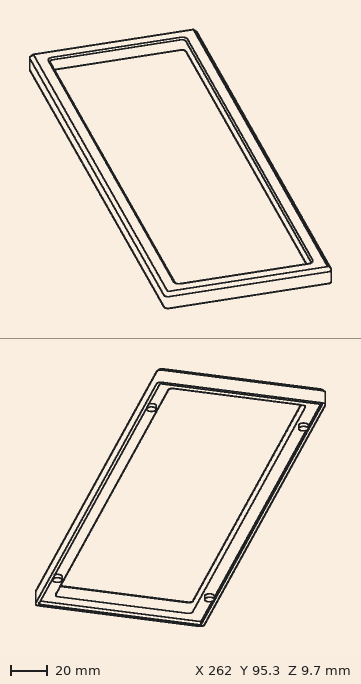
import cadquery as cq

length = 262.0
width = 95.3
height = 9.7

window_length = 243.8
window_width = 77.3

outer_bevel = 2.0
window_bevel = 1.0

outer_corner_radius = 2.4
window_corner_radius = 2.0

skirt_thickness = 1.8
recess_depth = 2.0

foot_diameter = 5.2
foot_spacing_x = 200.0
foot_inset = 4.7


def rounded_block(size_x, size_y, size_z, corner_radius):
    """Block standing on Z = 0, centred in X and Y, with rounded vertical edges."""
    block = cq.Workplane("XY").rect(size_x, size_y).extrude(size_z)
    return block.edges("|Z").fillet(corner_radius)


def bevelled_body():
    """Solid outer block with a bevel all round its top face."""
    block = rounded_block(length, width, height, outer_corner_radius)
    return block.faces(">Z").chamfer(outer_bevel)


def cut_window(body):
    """Cut the window and bevel its top rim."""
    window = rounded_block(window_length, window_width, height, window_corner_radius)
    frame = body.cut(window)
    rim_x = window_length / 2 + window_bevel
    rim_y = window_width / 2 + window_bevel
    rim = cq.selectors.BoxSelector(
        (-rim_x, -rim_y, height - window_bevel / 2),
        (rim_x, rim_y, height + window_bevel / 2),
    )
    return frame.edges(rim).chamfer(window_bevel)


def underside_recess():
    """Shallow block removed from below, inside the skirt."""
    recess_length = length - 2 * skirt_thickness
    recess_width = width - 2 * skirt_thickness
    return cq.Workplane("XY").rect(recess_length, recess_width).extrude(recess_depth)


def feet():
    """Four round feet that fill the depth of the recess."""
    foot_spacing_y = width - 2 * foot_inset
    return (
        cq.Workplane("XY")
        .rect(foot_spacing_x, foot_spacing_y, forConstruction=True)
        .vertices()
        .circle(foot_diameter / 2)
        .extrude(recess_depth)
    )


result = cut_window(bevelled_body()).cut(underside_recess()).union(feet())